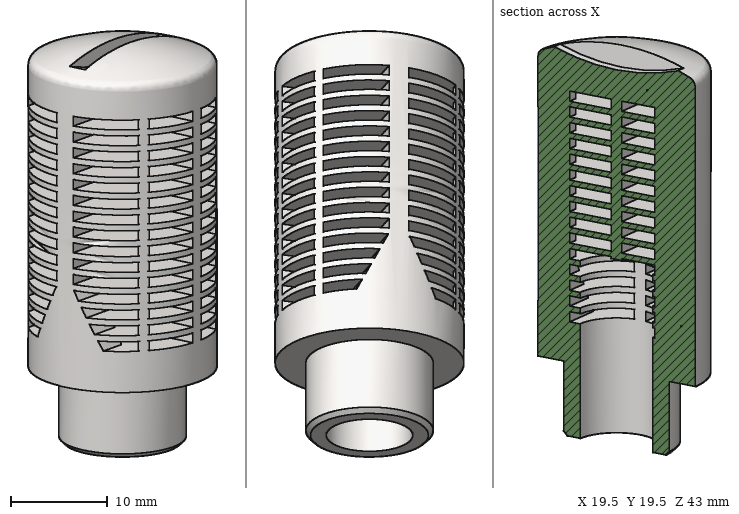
import math

import cadquery as cq

body_diameter = 19.5
body_radius = body_diameter / 2
overall_height = 42.95

stem_diameter = 13.16
stem_length = 8.0
stem_chamfer = 0.5
bore_diameter = 8.92
bore_depth = 20.05

driver_slot_width = 2.0
driver_slot_length = 15.3
driver_cutter_radius = 25.0

dome_radius = 25.0
dome_edge_radius = 1.0
dome_center_z = overall_height - math.sqrt(dome_radius**2 - (driver_slot_width / 2) ** 2)

vent_count = 15
vent_pitch = 1.7
vent_height = 1.05
vent_bottom_z = 12.4
vent_stack_height = (vent_count - 1) * vent_pitch + vent_height

web_half_thickness = 0.7
rear_wall_y = 4.72
corner_post_y = -5.72
corner_post_x = 7.18
rib_half_width = 1.08
rib_flare_z = 18.7
rib_flare_angle = 27.0


def barrel():
    """Stem and barrel, the barrel closed by a spherical dome with a rounded rim."""
    blank = cq.Workplane("XY").workplane(offset=stem_length).circle(body_radius).extrude(overall_height)
    dome = cq.Workplane("XY").sphere(dome_radius).translate((0, 0, dome_center_z))
    body = blank.intersect(dome).faces(">Z").edges().fillet(dome_edge_radius)
    stem = cq.Workplane("XY").circle(stem_diameter / 2).extrude(stem_length)
    stem = stem.faces("<Z").edges().chamfer(stem_chamfer)
    return body.union(stem)


def bore():
    """Blind bore from the stem end."""
    return cq.Workplane("XY").circle(bore_diameter / 2).extrude(bore_depth)


def driver_slot():
    """Disc-shaped cutter on an X axis, meeting the dome at both ends of the slot."""
    half_length = driver_slot_length / 2
    end_z = dome_center_z + math.sqrt(dome_radius**2 - half_length**2)
    cutter_z = end_z + math.sqrt(driver_cutter_radius**2 - half_length**2)
    return (
        cq.Workplane("YZ")
        .center(0, cutter_z)
        .circle(driver_cutter_radius)
        .extrude(driver_slot_width / 2, both=True)
    )


def cross_passage(y_start, y_end):
    """Opening through the whole barrel along X, as tall as the vent stack."""
    return (
        cq.Workplane("XY")
        .box(body_diameter, y_end - y_start, vent_stack_height, centered=(True, False, False))
        .translate((0, y_start, vent_bottom_z))
    )


def right_front_passage():
    """Opening on the +X side of the front rib, reaching back to the web; the rib flares out at its foot."""
    top_z = vent_bottom_z + vent_stack_height
    flare = (rib_flare_z - vent_bottom_z) * math.tan(math.radians(rib_flare_angle))
    return (
        cq.Workplane("XZ", origin=(0, -web_half_thickness, 0))
        .moveTo(rib_half_width + flare, vent_bottom_z)
        .lineTo(corner_post_x, vent_bottom_z)
        .lineTo(corner_post_x, top_z)
        .lineTo(rib_half_width, top_z)
        .lineTo(rib_half_width, rib_flare_z)
        .close()
        .extrude(body_radius)
    )


def vent_levels():
    """Stack of slabs wider than the barrel, one at the level of each vent slot."""
    centers = [(0, 0, vent_bottom_z + vent_height / 2 + index * vent_pitch) for index in range(vent_count)]
    slab = cq.Workplane("XY").box(2 * body_diameter, 2 * body_diameter, vent_height)
    slabs = [slab.translate(center).val() for center in centers]
    return cq.Workplane(cq.Compound.makeCompound(slabs))


def vents():
    """All passages, kept only at the levels of the vent slots."""
    right_passage = right_front_passage()
    passages = (
        cross_passage(web_half_thickness, rear_wall_y)
        .union(cross_passage(corner_post_y, -web_half_thickness))
        .union(right_passage)
        .union(right_passage.mirror("YZ"))
    )
    return passages.intersect(vent_levels())


result = barrel().cut(bore()).cut(driver_slot()).cut(vents())